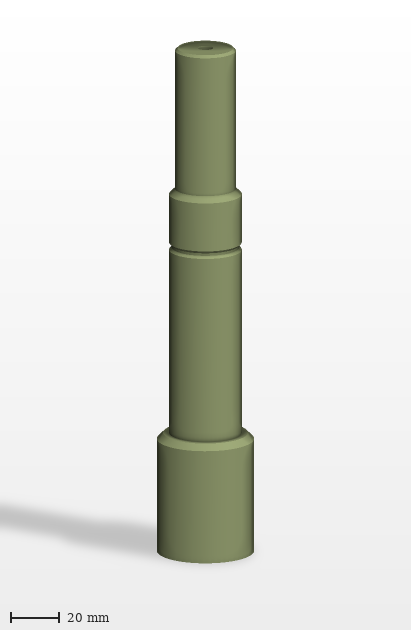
import cadquery as cq
import math

base_diameter = 40.0
body_diameter = 30.0
groove_diameter = 27.8
journal_diameter = 25.0

total_length = 214.0
base_length = 50.3
groove_bottom = 128.2
groove_width = 3.2
journal_start = 154.3

base_chamfer = 2.5
end_chamfer = 1.0

pilot_diameter = 3.2
countersink_diameter = 6.5
countersink_angle = 60.0
drill_tip_angle = 120.0
pilot_depth = 6.5


def make_cylinder(diameter, bottom, top):
    """Cylinder on the shaft axis between two heights."""
    return cq.Workplane("XY").workplane(offset=bottom).circle(diameter / 2).extrude(top - bottom)


def make_shaft():
    """Base, body and journal, with a conical shoulder leading up to the journal."""
    base = make_cylinder(base_diameter, 0, base_length).faces(">Z").chamfer(base_chamfer)
    shoulder_chamfer = (body_diameter - journal_diameter) / 2
    body = make_cylinder(body_diameter, 0, journal_start).faces(">Z").chamfer(shoulder_chamfer)
    journal = make_cylinder(journal_diameter, 0, total_length).faces(">Z").chamfer(end_chamfer)
    return base.union(body).union(journal)


def make_groove():
    """Ring around the body with 45-degree side walls and a narrow floor."""
    groove_top = groove_bottom + groove_width
    body_radius = body_diameter / 2
    groove_radius = groove_diameter / 2
    groove_depth = body_radius - groove_radius
    half_section = (
        cq.Workplane("XZ")
        .moveTo(body_radius, groove_bottom)
        .lineTo(groove_radius, groove_bottom + groove_depth)
        .lineTo(groove_radius, groove_top - groove_depth)
        .lineTo(body_radius, groove_top)
        .close()
    )
    return half_section.revolve(360, (0, 0, 0), (0, 1, 0))


def make_centre_hole():
    """Countersunk pilot hole with a conical drill tip."""
    pilot_radius = pilot_diameter / 2
    countersink_radius = countersink_diameter / 2
    countersink_depth = (countersink_radius - pilot_radius) / math.tan(math.radians(countersink_angle / 2))
    tip_length = pilot_radius / math.tan(math.radians(drill_tip_angle / 2))
    pilot_bottom = total_length - pilot_depth
    half_section = (
        cq.Workplane("XZ")
        .moveTo(0, total_length)
        .lineTo(countersink_radius, total_length)
        .lineTo(pilot_radius, total_length - countersink_depth)
        .lineTo(pilot_radius, pilot_bottom)
        .lineTo(0, pilot_bottom - tip_length)
        .close()
    )
    return half_section.revolve(360, (0, 0, 0), (0, 1, 0))


result = make_shaft().cut(make_groove()).cut(make_centre_hole())